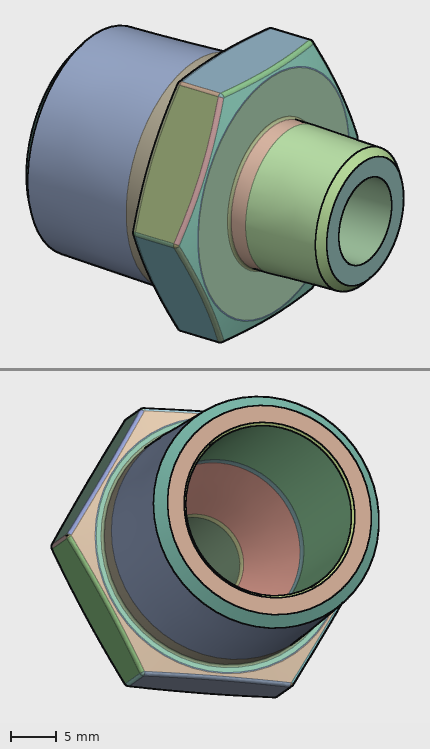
import cadquery as cq
import math

total_length = 37.0
large_taper_end = 14.5
hex_start = 17.25
hex_end = 24.75
small_taper_start = 26.97

large_dia = 26.75
small_dia = 16.9
thread_taper = 1 / 16
large_lead_length = 1.1
large_lead_depth = 1.25
small_lead_length = 0.9
small_lead_depth = 0.9
shoulder_fillet = 0.3

across_flats = 30.0
hex_face_dia = 28.55
hex_chamfer_angle = 15.0
hex_edge_fillet = 0.5
rim_clearance = 0.37

large_bore_dia = 19.0
small_bore_dia = 10.0
large_bore_depth = 17.25
bore_cone_angle = 30.0
bore_mouth_chamfer = 0.3
bore_cone_fillet = 1.48


def revolve_about_x(profile):
    """Close a half profile along the X axis and turn it into a solid of revolution."""
    return profile.close().revolve(360, (0, 0, 0), (1, 0, 0))


def make_hexagon():
    """Hexagon with corners on +Y and -Y, cone-chamfered on both faces, all edges rounded."""
    width = hex_end - hex_start
    across_corners = across_flats / math.cos(math.pi / 6)
    prism = cq.Workplane("YZ").workplane(offset=hex_start).polygon(6, across_corners).extrude(width)

    face_radius = hex_face_dia / 2
    rim_radius = across_corners / 2 + rim_clearance
    setback = (rim_radius - face_radius) * math.tan(math.radians(hex_chamfer_angle))
    envelope = revolve_about_x(
        cq.Workplane("XY")
        .moveTo(hex_start, 0)
        .lineTo(hex_start, face_radius)
        .lineTo(hex_start + setback, rim_radius)
        .lineTo(hex_end - setback, rim_radius)
        .lineTo(hex_end, face_radius)
        .lineTo(hex_end, 0)
    )
    envelope = envelope.faces("<X or >X").edges().fillet(hex_edge_fillet)

    body = prism.edges("|X").fillet(hex_edge_fillet).intersect(envelope)
    return body.edges("not (%LINE or %CIRCLE)").fillet(hex_edge_fillet)


def make_threaded_ends():
    """Tapered thread blanks on both sides, with lead-in chamfers and fillets at the hexagon."""
    large_radius = large_dia / 2
    large_lead_radius = large_radius - (large_taper_end - large_lead_length) * thread_taper / 2
    small_radius = small_dia / 2
    small_lead_start = total_length - small_lead_length
    small_lead_radius = small_radius - (small_lead_start - small_taper_start) * thread_taper / 2
    hex_middle = (hex_start + hex_end) / 2
    return revolve_about_x(
        cq.Workplane("XY")
        .lineTo(0, large_lead_radius - large_lead_depth)
        .lineTo(large_lead_length, large_lead_radius)
        .lineTo(large_taper_end, large_radius)
        .lineTo(hex_start - shoulder_fillet, large_radius)
        .radiusArc((hex_start, large_radius + shoulder_fillet), -shoulder_fillet)
        .lineTo(hex_middle, large_radius + shoulder_fillet)
        .lineTo(hex_middle, small_radius + shoulder_fillet)
        .lineTo(hex_end, small_radius + shoulder_fillet)
        .radiusArc((hex_end + shoulder_fillet, small_radius), -shoulder_fillet)
        .lineTo(small_taper_start, small_radius)
        .lineTo(small_lead_start, small_lead_radius)
        .lineTo(total_length, small_lead_radius - small_lead_depth)
        .lineTo(total_length, 0)
    )


def make_bore():
    """Wide bore from the large end, narrowing through a rounded cone into the through hole."""
    large_radius = large_bore_dia / 2
    small_radius = small_bore_dia / 2
    cone_length = (large_radius - small_radius) / math.tan(math.radians(bore_cone_angle))
    stepped_bore = revolve_about_x(
        cq.Workplane("XY")
        .lineTo(0, large_radius + bore_mouth_chamfer)
        .lineTo(bore_mouth_chamfer, large_radius)
        .lineTo(large_bore_depth, large_radius)
        .lineTo(large_bore_depth + cone_length, small_radius)
        .lineTo(total_length, small_radius)
        .lineTo(total_length, 0)
    )
    return stepped_bore.faces("%CONE").faces(">X").edges("%CIRCLE").fillet(bore_cone_fillet)


result = make_threaded_ends().union(make_hexagon()).cut(make_bore())